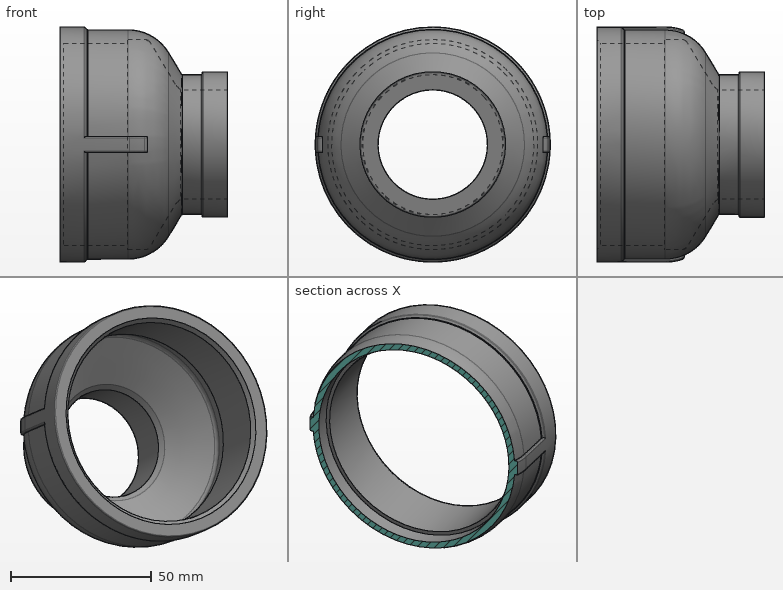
import cadquery as cq
import math


step = 1.0
collar_radius = 42.0
body_radius = collar_radius - step
bead_radius = 52.0 / 2
neck_radius = bead_radius - step

collar_end = 8.8
collar_foot = collar_end + step
dome_start = 24.4
bead_start = 50.8
total_length = 60.0

dome_radius = 17.0
cone_angle = math.radians(59)
dome_end = dome_start + dome_radius * math.sin(cone_angle)
dome_end_radius = body_radius - dome_radius * (1 - math.cos(cone_angle))
neck_start = dome_end + (dome_end_radius - neck_radius) / math.tan(cone_angle)

mouth_radius = 75.0 / 2
large_bore_radius = 36.1
mouth_chamfer = mouth_radius - large_bore_radius
relief_start = 24.2
relief_radius = mouth_radius
relief_end = 31.7
relief_fillet = 2.0
small_bore_radius = 19.5
inner_chamfer_radius = 21.2
inner_cone_end = relief_end + (relief_radius - inner_chamfer_radius) / math.tan(cone_angle)
small_bore_start = inner_cone_end + inner_chamfer_radius - small_bore_radius

rib_width = 5.7
rib_arc_start = 24.9
rib_round_start = 30.25
rib_end = 31.4
rib_end_radius = 1.8
rib_root_radius = 35.3

end_round = 0.3
step_round = 0.5
bead_round = 0.46


def dome_point(start, top_radius, x):
    """Point at x on a dome arc that leaves a cylinder of top_radius at x = start."""
    drop = dome_radius - math.sqrt(dome_radius**2 - (x - start)**2)
    return (x, top_radius - drop)


def revolve_about_x(profile):
    """Close the half profile and turn it a full circle about the X axis."""
    return profile.close().revolve(360, (0, 0, 0), (1, 0, 0))


def round_circle(solid, x, radius, rounding):
    """Round the circular edge of the given radius at position x."""
    margin = 0.02
    reach = radius + margin
    corner = (x + margin, reach, reach)
    opposite = (x - margin, -reach, -reach)
    at_x = cq.selectors.BoxSelector(opposite, corner, boundingbox=True)
    edges = solid.edges(at_x).filter(lambda edge: abs(edge.radius() - radius) < margin)
    return edges.fillet(rounding)


def make_outer_body():
    dome_middle = (dome_start + dome_end) / 2
    profile = (
        cq.Workplane("XZ")
        .lineTo(0, collar_radius)
        .lineTo(collar_end, collar_radius)
        .lineTo(collar_foot, body_radius)
        .lineTo(dome_start, body_radius)
        .threePointArc(dome_point(dome_start, body_radius, dome_middle), (dome_end, dome_end_radius))
        .lineTo(neck_start, neck_radius)
        .lineTo(bead_start, neck_radius)
        .lineTo(bead_start, bead_radius)
        .lineTo(total_length, bead_radius)
        .lineTo(total_length, 0)
    )
    body = revolve_about_x(profile)
    body = round_circle(body, 0, collar_radius, end_round)
    body = round_circle(body, collar_foot, body_radius, step_round)
    body = round_circle(body, neck_start, neck_radius, step_round)
    body = round_circle(body, bead_start, neck_radius, bead_round)
    body = round_circle(body, bead_start, bead_radius, bead_round)
    return round_circle(body, total_length, bead_radius, end_round)


def make_ribs():
    """Ribs on the +Y and -Y sides: a ring with their lengthwise shape, cut to the rib width."""
    shoulder = dome_point(rib_arc_start, collar_radius, rib_round_start)
    arc_middle = dome_point(rib_arc_start, collar_radius, (rib_arc_start + rib_round_start) / 2)
    foot = dome_point(dome_start, body_radius, rib_end)
    profile = (
        cq.Workplane("XZ")
        .moveTo(collar_end / 2, rib_root_radius)
        .lineTo(collar_end / 2, collar_radius)
        .lineTo(rib_arc_start, collar_radius)
        .threePointArc(arc_middle, shoulder)
        .radiusArc(foot, rib_end_radius)
        .lineTo(rib_end, rib_root_radius)
    )
    ring = revolve_about_x(profile)
    slab = cq.Workplane("XY").box(2 * rib_end + step, 2 * collar_radius + step, rib_width)
    return ring.intersect(slab)


def is_raised_edge(edge):
    """True for the edge around the collar's back and along the top of each rib."""
    margin = 0.01
    middle = edge.positionAt(0.5)
    height = math.hypot(middle.y, middle.z)
    if abs(middle.x - collar_end) < margin:
        return abs(height - collar_radius) < margin
    on_rib_side = abs(abs(middle.z) - rib_width / 2) < margin
    surface_x = min(max(middle.x, dome_start), dome_end)
    surface_height = dome_point(dome_start, body_radius, surface_x)[1]
    behind_collar = middle.x > collar_foot
    return on_rib_side and behind_collar and height > surface_height + step / 4


def make_bore():
    """Mouth chamfer, large bore, thread relief, inner cone and small through bore as one solid."""
    profile = (
        cq.Workplane("XZ")
        .lineTo(0, mouth_radius)
        .lineTo(mouth_chamfer, large_bore_radius)
        .lineTo(relief_start, large_bore_radius)
        .lineTo(relief_start, relief_radius)
        .lineTo(relief_end, relief_radius)
        .lineTo(inner_cone_end, inner_chamfer_radius)
        .lineTo(small_bore_start, small_bore_radius)
        .lineTo(total_length, small_bore_radius)
        .lineTo(total_length, 0)
    )
    return round_circle(revolve_about_x(profile), relief_end, relief_radius, relief_fillet)


outer = make_outer_body().union(make_ribs())
outer = outer.edges().filter(is_raised_edge).fillet(step_round)
result = outer.cut(make_bore())